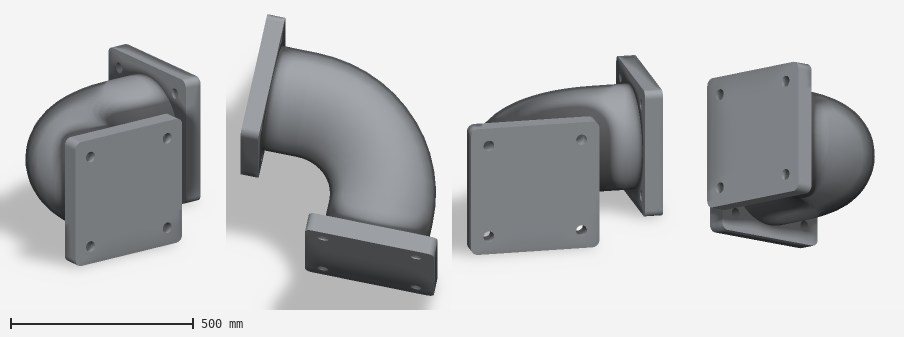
import cadquery as cq

overall = 590.0
flange_side = 360.0
flange_thickness = 50.0
flange_corner_radius = 20.0
pipe_diameter = 290.0
straight_length = 100.0
bolt_hole_diameter = 30.0
bolt_edge_distance = 50.0

flange_face = overall - flange_side / 2
flange_back = flange_face - flange_thickness
bend_radius = flange_back - straight_length
bolt_spacing = flange_side - 2 * bolt_edge_distance


def make_arm():
    """Straight pipe along +X ending in a square flange with four bolt holes."""
    pipe = (
        cq.Workplane("YZ", origin=(bend_radius, 0, 0))
        .circle(pipe_diameter / 2)
        .extrude(flange_face - bend_radius)
    )
    flange = (
        cq.Workplane("YZ", origin=(flange_back, 0, 0))
        .rect(flange_side, flange_side)
        .extrude(flange_thickness)
        .edges("|X")
        .fillet(flange_corner_radius)
        .faces(">X")
        .workplane(centerOption="CenterOfBoundBox")
        .rect(bolt_spacing, bolt_spacing, forConstruction=True)
        .vertices()
        .hole(bolt_hole_diameter)
    )
    return pipe.union(flange)


def make_bend():
    """Quarter-turn bend joining the +X arm to the +Y arm."""
    return (
        cq.Workplane("YZ", origin=(bend_radius, 0, 0))
        .circle(pipe_diameter / 2)
        .revolve(90, (bend_radius, 0), (bend_radius, -1))
    )


x_arm = make_arm()
y_arm = x_arm.rotate((0, 0, 0), (0, 0, 1), 90)
result = make_bend().union(x_arm).union(y_arm)